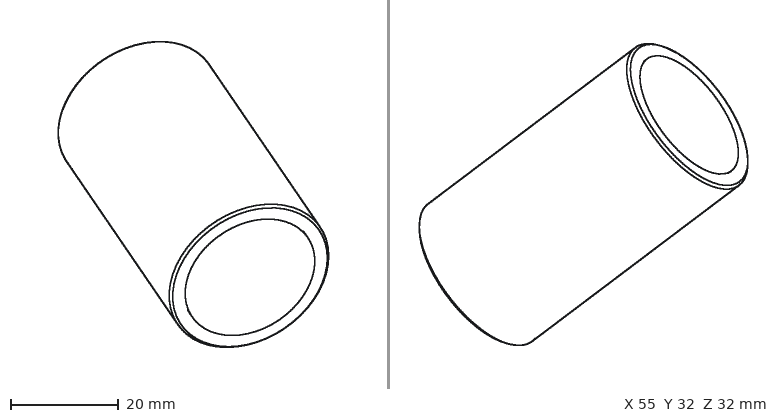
import cadquery as cq

length = 55.0
outer_diameter = 32.0
bore_diameter = 26.0
chamfer_size = 0.5

sleeve = (
    cq.Workplane("YZ", origin=(-length / 2, 0, 0))
    .circle(outer_diameter / 2)
    .circle(bore_diameter / 2)
    .extrude(length)
)

outer_rims = sleeve.faces("<X or >X").edges(cq.selectors.RadiusNthSelector(-1))
result = outer_rims.chamfer(chamfer_size)